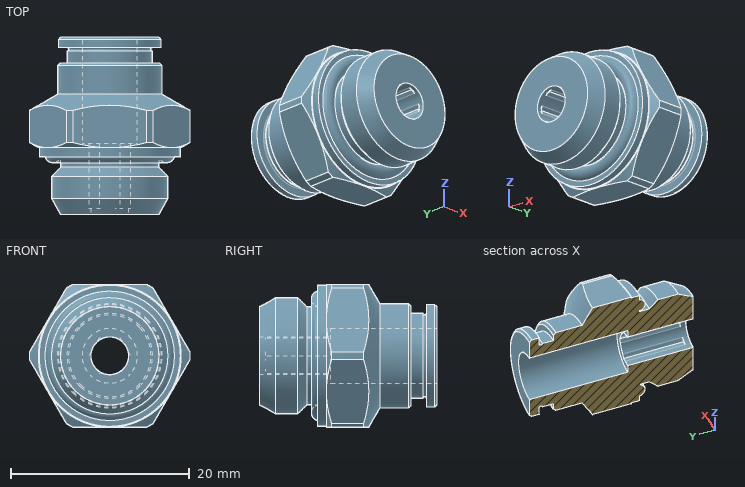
import cadquery as cq
import math

length = 19.89

thread_diameter = 13.0
thread_neck_diameter = 11.0
lead_in_end = 1.81
thread_end = 4.3
relief_start = 5.31

ring_front = 5.8
ring_outer_diameter = 14.52
flange_diameter = 15.8
flange_front = 6.48

hex_front = 7.5
hex_back = 13.49
hex_across_flats = 16.0
hex_corner_diameter = 18.0
hex_chamfer_angle = math.radians(30)

collar_diameter = 11.7
collar_back = 16.99
collar_chamfer = 0.3
sleeve_diameter = 9.55
sleeve_shoulder = 18.3
sleeve_groove_diameter = 9.19
head_front = 18.68
head_diameter = 11.5
head_chamfer = 0.28

bore_diameter = 4.2
key_across_flats = 4.0
key_front = 0.7
tube_diameter = 6.15
tube_stop = 7.95


def revolve_profile(points):
    """Turn (radius, y) points around the Y axis."""
    return cq.Workplane("XY").polyline(points).close().revolve(360, (0, 0, 0), (0, 1, 0))


def cylinder(diameter, start, end):
    """Cylinder along Y between two positions."""
    radius = diameter / 2
    return revolve_profile([(0, start), (radius, start), (radius, end), (0, end)])


def hexagon(across_flats, start, end):
    """Hexagonal prism along Y with two corners on the X axis."""
    across_corners = across_flats / math.cos(math.pi / 6)
    face = cq.Workplane("XZ", origin=(0, start, 0)).polygon(6, across_corners)
    return face.extrude(start - end)


def threaded_end():
    neck_radius = thread_neck_diameter / 2
    thread_radius = thread_diameter / 2
    return revolve_profile([
        (0, 0),
        (neck_radius, 0),
        (thread_radius, lead_in_end),
        (thread_radius, thread_end),
        (neck_radius, relief_start),
        (neck_radius, flange_front),
        (0, flange_front),
    ])


def sealing_ring():
    """O-ring on the thread neck, partly sunk into the flange."""
    section_radius = (ring_outer_diameter - thread_neck_diameter) / 4
    center_radius = ring_outer_diameter / 2 - section_radius
    section = cq.Workplane("XY").center(center_radius, ring_front + section_radius).circle(section_radius)
    return section.revolve(360, (-center_radius, 0, 0), (-center_radius, 1, 0))


def chamfered_hexagon():
    """Hexagon with its corners turned round and conical chamfers at both ends."""
    corner_radius = hex_corner_diameter / 2
    front_radius = hex_across_flats / 2
    back_radius = collar_diameter / 2
    slope = math.tan(hex_chamfer_angle)
    envelope = revolve_profile([
        (0, hex_front),
        (front_radius, hex_front),
        (corner_radius, hex_front + (corner_radius - front_radius) * slope),
        (corner_radius, hex_back - (corner_radius - back_radius) * slope),
        (back_radius, hex_back),
        (0, hex_back),
    ])
    return hexagon(hex_across_flats, hex_front, hex_back).intersect(envelope)


def tube_end():
    """Collar, release sleeve with a round groove, and sleeve head."""
    collar_radius = collar_diameter / 2
    sleeve_radius = sleeve_diameter / 2
    groove_radius = sleeve_groove_diameter / 2
    head_radius = head_diameter / 2
    outline = (
        cq.Workplane("XY")
        .moveTo(0, hex_back)
        .lineTo(collar_radius, hex_back)
        .lineTo(collar_radius, collar_back - collar_chamfer)
        .lineTo(collar_radius - collar_chamfer, collar_back)
        .lineTo(sleeve_radius, collar_back)
        .lineTo(sleeve_radius, sleeve_shoulder)
        .threePointArc((groove_radius, (sleeve_shoulder + head_front) / 2), (sleeve_radius, head_front))
        .lineTo(head_radius, head_front)
        .lineTo(head_radius, length - head_chamfer)
        .lineTo(head_radius - head_chamfer, length)
        .lineTo(0, length)
        .close()
    )
    return outline.revolve(360, (0, 0, 0), (0, 1, 0))


def passage():
    """Round bore, hexagon key socket and wider tube socket."""
    bore = cylinder(bore_diameter, 0, length)
    key_socket = hexagon(key_across_flats, key_front, tube_stop)
    tube_socket = cylinder(tube_diameter, tube_stop, length)
    return bore.union(key_socket).union(tube_socket)


body = threaded_end().union(cylinder(flange_diameter, flange_front, hex_front))
body = body.union(sealing_ring()).union(chamfered_hexagon()).union(tube_end())
result = body.cut(passage()).translate((0, -length / 2, 0))